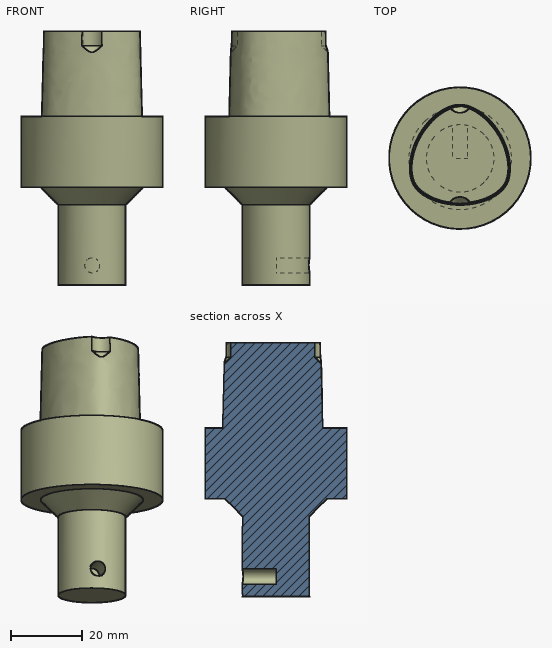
import cadquery as cq
import math

TOTAL_HEIGHT = 71.5
PIN_HEIGHT = 22.6
FLANGE_BOTTOM = 27.5
FLANGE_TOP = 47.5

FLANGE_DIAMETER = 40.0
PIN_DIAMETER = 19.0
CONE_TOP_DIAMETER = 28.9

SHANK_BASE_RADIUS = 14.15
SHANK_TAPER = 1 / 40
SHANK_LOBE = 0.9
OUTLINE_POINTS = 48

NOTCH_RADIUS = 3.3
NOTCH_DEPTH = 4.1
NOTCH_INSET = 1.7

CROSS_HOLE_DIAMETER = 4.2
CROSS_HOLE_HEIGHT = 5.65

shank_height = TOTAL_HEIGHT - FLANGE_TOP
shank_top_radius = SHANK_BASE_RADIUS - SHANK_TAPER * shank_height


def make_body():
    """Pin, cone and flange as one turned shape."""
    pin = cq.Workplane("XY").circle(PIN_DIAMETER / 2).extrude(FLANGE_BOTTOM)
    cone = (
        cq.Workplane("XY", origin=(0, 0, PIN_HEIGHT))
        .circle(PIN_DIAMETER / 2)
        .workplane(offset=FLANGE_BOTTOM - PIN_HEIGHT)
        .circle(CONE_TOP_DIAMETER / 2)
        .loft()
    )
    flange = (
        cq.Workplane("XY", origin=(0, 0, FLANGE_BOTTOM))
        .circle(FLANGE_DIAMETER / 2)
        .extrude(FLANGE_TOP - FLANGE_BOTTOM)
    )
    return pin.union(cone).union(flange)


def lobed_outline(mean_radius, height):
    """Closed curve of constant width with three lobes."""

    def point(t):
        angle = 2 * math.pi * t
        along = mean_radius * math.cos(angle) + SHANK_LOBE * (2 * math.cos(2 * angle) - math.cos(4 * angle))
        across = mean_radius * math.sin(angle) - SHANK_LOBE * (2 * math.sin(2 * angle) + math.sin(4 * angle))
        return (-across, along)

    points = [point(step / OUTLINE_POINTS) for step in range(OUTLINE_POINTS)]
    edge = cq.Edge.makeSpline([cq.Vector(x, y, height) for x, y in points], periodic=True)
    return cq.Wire.assembleEdges([edge])


def make_shank():
    base = lobed_outline(SHANK_BASE_RADIUS, FLANGE_TOP)
    top = lobed_outline(shank_top_radius, TOTAL_HEIGHT)
    return cq.Workplane(cq.Solid.makeLoft([base, top], True))


def make_notch(center_y):
    """Cutter with a straight wall and a 45 degree conical tip."""
    tip_height = TOTAL_HEIGHT - NOTCH_DEPTH - NOTCH_RADIUS
    return (
        cq.Workplane("XZ")
        .moveTo(0, tip_height)
        .lineTo(NOTCH_RADIUS, TOTAL_HEIGHT - NOTCH_DEPTH)
        .lineTo(NOTCH_RADIUS, TOTAL_HEIGHT)
        .lineTo(0, TOTAL_HEIGHT)
        .close()
        .revolve(360, (0, 0), (0, 1))
        .translate((0, center_y, 0))
    )


def make_cross_hole():
    """Drill from the +Y side of the pin to its axis."""
    return (
        cq.Workplane("XZ", origin=(0, 0, CROSS_HOLE_HEIGHT))
        .circle(CROSS_HOLE_DIAMETER / 2)
        .extrude(-PIN_DIAMETER / 2)
    )


notch_offset = NOTCH_RADIUS - NOTCH_INSET
lobe_notch_y = shank_top_radius + SHANK_LOBE + notch_offset
flat_notch_y = -(shank_top_radius - SHANK_LOBE + notch_offset)

result = make_body().union(make_shank())
for notch_y in (lobe_notch_y, flat_notch_y):
    result = result.cut(make_notch(notch_y))
result = result.cut(make_cross_hole())